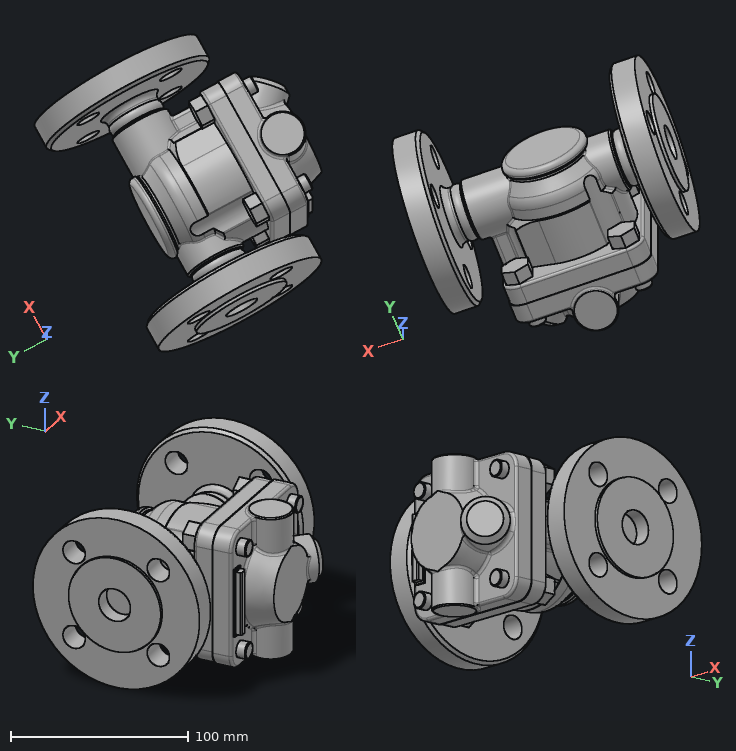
import cadquery as cq
import math

FACE_TO_FACE = 150.0

FLANGE_DIA = 105.0
FLANGE_THICKNESS = 16.0
FLANGE_CHAMFER = 2.0
RAISED_FACE_DIA = 58.0
RAISED_FACE_HEIGHT = 2.0
BORE_DIA = 20.0
BORE_DEPTH = 10.0
FLANGE_HOLE_DIA = 14.0
FLANGE_HOLE_CIRCLE = 75.0

NECK_DIA = 32.0
NECK_FLARE_LENGTH = 3.9
NECK_FLARE_HEIGHT = 2.4
NECK_LENGTH = 1.5
WELD_HEIGHT = 0.9
WELD_END = 46.0
PIPE_DIA = 36.0
PIPE_END = 45.3
PIPE_END_CHAMFER = 1.0

BODY_X = -6.0
BODY_TOP_Y = 22.0
CAP_RADIUS = 25.6
CAP_ROUND = 3.2
CAP_LOW_Y = 17.2
NECKING_RADIUS = 24.6
NECKING_TOP_Y = 16.0
NECKING_LOW_Y = 14.5
TAPER_END_RADIUS = 30.3
TAPER_END_Y = 7.7
UPPER_RADIUS = 32.4
UPPER_TOP_Y = 0.75
SHOULDER_Y = -6.0
LOBE_RADIUS = 36.0
LOWER_BODY_OVERLAP = 1.0
BODY_PIPE_FILLET = 1.2
BODY_PIPE_FILLET_TOP_Y = 16.0

LABEL_RADIUS = 33.0
LABEL_RIGHT = 13.1
LOBE_FLAT = 28.4
LOBE_LEFT_ANGLE = 130.0

JOINT_X = -3.0
JOINT_Y = -35.0
PLATE_THICKNESS = 12.0
BODY_PLATE_SIDE = 85.0
COVER_PLATE_SIDE = 85.8
PLATE_CORNER_RADIUS = 10.6
PLATE_EDGE_FILLET = 1.6
PARTING_Y = JOINT_Y - PLATE_THICKNESS
COVER_Y = PARTING_Y - PLATE_THICKNESS

BOLT_OFFSET = 32.0
BOLT_DIA = 10.0
BOLT_PROJECTION = 6.0
BOLT_CHAMFER = 0.6
NUT_ACROSS_FLATS = 16.0
NUT_HEIGHT = 8.0
NUT_CLEARANCE_RADIUS = 12.0
NUT_GROOVE_FILLET = 1.0

RIB_INNER_X = 20.0
RIB_OUTER_X = 39.4
RIB_START_Y = -12.0
RIB_HEIGHT = 16.0
RIB_FILLET = 1.6
RIB_CORNER_RADIUS = 2.7

DOME_HEIGHT = 18.0
DOME_FACE_RADIUS = 22.2
DOME_BASE_RADIUS = 28.3
DOME_BASE_FILLET = 2.0
DOME_TRIM = 5.0
SIDE_BOSS_DIA = 26.0
SIDE_BOSS_LENGTH = 88.7
SIDE_BOSS_CHAMFER = 0.8
SIDE_BOSS_FILLET = 2.0
DOME_FACE_Y = COVER_Y - DOME_HEIGHT
SIDE_BOSS_Y = DOME_FACE_Y + SIDE_BOSS_DIA / 2

STRAINER_DIA = 28.0
STRAINER_CHAMFER = 3.6
STRAINER_LENGTH = 25.0
STRAINER_FACE_X = 31.4
STRAINER_FACE_Y = -74.86
STRAINER_FILLET = 2.0

TAG_X = -39.85
TAG_WIDTH = 7.6
TAG_LENGTH = 41.5
TAG_BASE_HEIGHT = 1.2
TAG_HEIGHT = 4.7
TAG_RIDGE_WIDTH = 5.5
TAG_RIDGE_LENGTH = 39.0
TAG_RIDGE_CHAMFER_WIDTH = 1.0
TAG_RIDGE_CHAMFER_DEPTH = 0.6

TOUCH_TOLERANCE = 1e-3


def cylinder_y(radius, start_y, length, x=0.0, z=0.0):
    """Cylinder that runs from start_y towards -Y."""
    return cq.Workplane("XZ", origin=(x, start_y, z)).circle(radius).extrude(length)


def bolt_places():
    return [
        (JOINT_X + side * BOLT_OFFSET, level * BOLT_OFFSET)
        for side in (-1, 1)
        for level in (-1, 1)
    ]


def blend(first, second, radius, top_y=math.inf):
    """Union of two solids with the seam between them filleted below top_y."""
    joined = first.union(second)
    seam = []
    for edge in joined.edges().vals():
        middle = cq.Vertex.makeVertex(*edge.positionAt(0.5).toTuple())
        gaps = (middle.distance(first.val()), middle.distance(second.val()))
        if max(gaps) < TOUCH_TOLERANCE and edge.Center().y < top_y:
            seam.append(edge)
    return joined.newObject(seam).fillet(radius)


def make_run():
    """Both flanges, necks and the straight pipe, revolved about X."""
    end = FACE_TO_FACE / 2
    front = end - RAISED_FACE_HEIGHT
    back = front - FLANGE_THICKNESS
    neck_r = NECK_DIA / 2
    neck_out = back - NECK_FLARE_LENGTH
    neck_in = neck_out - NECK_LENGTH
    pipe_r = PIPE_DIA / 2
    flange_r = FLANGE_DIA / 2
    half = (
        cq.Workplane("XY")
        .moveTo(0, 0)
        .lineTo(0, pipe_r)
        .lineTo(PIPE_END - PIPE_END_CHAMFER, pipe_r)
        .lineTo(PIPE_END, pipe_r - PIPE_END_CHAMFER)
        .lineTo(PIPE_END, neck_r)
        .lineTo(WELD_END, neck_r)
        .threePointArc(((neck_in + WELD_END) / 2, neck_r + WELD_HEIGHT), (neck_in, neck_r))
        .lineTo(neck_out, neck_r)
        .tangentArcPoint((back, neck_r + NECK_FLARE_HEIGHT), relative=False)
        .lineTo(back, flange_r - FLANGE_CHAMFER)
        .lineTo(back + FLANGE_CHAMFER, flange_r)
        .lineTo(front, flange_r)
        .lineTo(front, RAISED_FACE_DIA / 2)
        .lineTo(end, RAISED_FACE_DIA / 2)
        .lineTo(end, 0)
        .close()
        .revolve(360, (0, 0, 0), (1, 0, 0))
    )
    return half.union(half.mirror("YZ"))


def make_upper_body():
    """Body of revolution with a rounded cap, a shallow neck and a taper."""
    return (
        cq.Workplane("XY", origin=(BODY_X, 0, 0))
        .moveTo(0, BODY_TOP_Y)
        .lineTo(CAP_RADIUS - CAP_ROUND, BODY_TOP_Y)
        .tangentArcPoint((CAP_RADIUS, BODY_TOP_Y - CAP_ROUND), relative=False)
        .lineTo(CAP_RADIUS, CAP_LOW_Y)
        .lineTo(NECKING_RADIUS, NECKING_TOP_Y)
        .lineTo(NECKING_RADIUS, NECKING_LOW_Y)
        .lineTo(TAPER_END_RADIUS, TAPER_END_Y)
        .tangentArcPoint((UPPER_RADIUS, UPPER_TOP_Y), relative=False)
        .lineTo(UPPER_RADIUS, JOINT_Y - LOWER_BODY_OVERLAP)
        .lineTo(0, JOINT_Y - LOWER_BODY_OVERLAP)
        .close()
        .revolve(360, (0, 0, 0), (0, 1, 0))
    )


def make_lower_body():
    """Lobed section extruded along Y and trimmed to a 45 degree conical shoulder."""
    label_top = math.sqrt(LABEL_RADIUS**2 - LABEL_RIGHT**2)
    flank_slope = LABEL_RIGHT / label_top
    flank_end = label_top - flank_slope * (LOBE_FLAT - LABEL_RIGHT)
    lobe_start = math.sqrt(LOBE_RADIUS**2 - LOBE_FLAT**2)
    left_cos = math.cos(math.radians(LOBE_LEFT_ANGLE))
    left_sin = math.sin(math.radians(LOBE_LEFT_ANGLE))
    start_y = SHOULDER_Y
    length = start_y - JOINT_Y + LOWER_BODY_OVERLAP
    half = (
        cq.Workplane("XZ", origin=(BODY_X, start_y, 0))
        .moveTo(-LOBE_RADIUS, 0)
        .lineTo(LOBE_RADIUS, 0)
        .radiusArc((LOBE_FLAT, lobe_start), -LOBE_RADIUS)
        .lineTo(LOBE_FLAT, flank_end)
        .lineTo(LABEL_RIGHT, label_top)
        .threePointArc((0, LABEL_RADIUS), (LABEL_RADIUS * left_cos, LABEL_RADIUS * left_sin))
        .lineTo(LOBE_RADIUS * left_cos, LOBE_RADIUS * left_sin)
        .radiusArc((-LOBE_RADIUS, 0), -LOBE_RADIUS)
        .close()
        .extrude(length)
    )
    shoulder = (
        cq.Workplane("XZ", origin=(BODY_X, start_y, 0))
        .circle(UPPER_RADIUS)
        .workplane(offset=length)
        .circle(UPPER_RADIUS + length)
        .loft()
    )
    return half.union(half.mirror("XY")).intersect(shoulder)


def cut_nut_grooves(part):
    """Round grooves with eased edges that clear the two nuts on the -X side."""
    reach = NUT_CLEARANCE_RADIUS + TOUCH_TOLERANCE
    groove_length = BODY_TOP_Y - JOINT_Y
    for x, z in bolt_places():
        if x > BODY_X:
            continue
        part = part.cut(cylinder_y(NUT_CLEARANCE_RADIUS, BODY_TOP_Y, groove_length, x, z))
        groove_box = cq.selectors.BoxSelector(
            (x - reach, JOINT_Y, z - reach), (x + reach, SHOULDER_Y, z + reach)
        )
        part = part.edges("|Y").edges(groove_box).fillet(NUT_GROOVE_FILLET)
    return part


def make_body_plate():
    return make_plate(BODY_PLATE_SIDE, JOINT_Y).faces(">Y").edges().fillet(PLATE_EDGE_FILLET)


def make_plate(side, start_y):
    return (
        cq.Workplane("XZ", origin=(JOINT_X, start_y, 0))
        .rect(side, side)
        .extrude(PLATE_THICKNESS)
        .edges("|Y")
        .fillet(PLATE_CORNER_RADIUS)
    )


def make_outlet_rib():
    width = RIB_OUTER_X - RIB_INNER_X
    return (
        cq.Workplane("XZ", origin=((RIB_OUTER_X + RIB_INNER_X) / 2, RIB_START_Y, 0))
        .rect(width, RIB_HEIGHT)
        .extrude(RIB_START_Y - JOINT_Y + LOWER_BODY_OVERLAP)
        .edges("|Y and >X")
        .fillet(RIB_CORNER_RADIUS)
    )


def make_strainer_boss():
    axis = cq.Vector(1, -1, 0).normalized()
    face_center = cq.Vector(STRAINER_FACE_X, STRAINER_FACE_Y, 0)
    plane = cq.Plane(face_center - axis * STRAINER_LENGTH, xDir=(0, 0, 1), normal=axis)
    boss = cq.Workplane(plane).circle(STRAINER_DIA / 2).extrude(STRAINER_LENGTH)
    return boss.faces(cq.selectors.DirectionMinMaxSelector(axis)).chamfer(STRAINER_CHAMFER)


def make_cover():
    """Cover plate with its conical dome, side bosses and strainer boss."""
    plate = make_plate(COVER_PLATE_SIDE, PARTING_Y).faces("<Y").edges().fillet(PLATE_EDGE_FILLET)
    slope = (DOME_BASE_RADIUS - DOME_FACE_RADIUS) / DOME_HEIGHT
    tip_y = DOME_FACE_Y - DOME_TRIM
    tip_height = COVER_Y - tip_y
    dome = (
        cq.Workplane("XZ", origin=(BODY_X, COVER_Y, 0))
        .circle(DOME_BASE_RADIUS)
        .workplane(offset=tip_height)
        .circle(DOME_BASE_RADIUS - slope * tip_height)
        .loft()
    )
    side_boss = (
        cq.Workplane("XY", origin=(BODY_X, SIDE_BOSS_Y, 0))
        .circle(SIDE_BOSS_DIA / 2)
        .extrude(SIDE_BOSS_LENGTH / 2, both=True)
        .faces("<Z or >Z")
        .chamfer(SIDE_BOSS_CHAMFER)
    )
    cover = blend(plate, dome, DOME_BASE_FILLET)
    cover = blend(cover, side_boss, SIDE_BOSS_FILLET)
    dome_tip = cylinder_y(DOME_BASE_RADIUS, DOME_FACE_Y, DOME_TRIM, BODY_X)
    cover = cover.cut(dome_tip)
    return blend(cover, make_strainer_boss(), STRAINER_FILLET)


def make_name_tag():
    base = (
        cq.Workplane("XZ", origin=(TAG_X, COVER_Y, 0))
        .rect(TAG_WIDTH, TAG_LENGTH)
        .extrude(TAG_BASE_HEIGHT)
    )
    ridge = (
        cq.Workplane("XZ", origin=(TAG_X, COVER_Y, 0))
        .rect(TAG_RIDGE_WIDTH, TAG_RIDGE_LENGTH)
        .extrude(TAG_HEIGHT)
        .faces("<Y")
        .edges("|Z")
        .chamfer(TAG_RIDGE_CHAMFER_DEPTH, TAG_RIDGE_CHAMFER_WIDTH)
    )
    return base.union(ridge)


def make_fastener(x, z):
    """Nut behind the joint and bolt end in front of the cover."""
    nut_corner_dia = NUT_ACROSS_FLATS / math.cos(math.pi / 6)
    nut = (
        cq.Workplane("XZ", origin=(x, JOINT_Y + NUT_HEIGHT, z))
        .transformed(rotate=(0, 0, 90))
        .polygon(6, nut_corner_dia)
        .extrude(NUT_HEIGHT)
    )
    bolt = cylinder_y(BOLT_DIA / 2, COVER_Y, BOLT_PROJECTION, x, z)
    return nut.union(bolt.faces("<Y").chamfer(BOLT_CHAMFER))


def cut_flange_holes(part):
    end = FACE_TO_FACE / 2
    hole_spacing = FLANGE_HOLE_CIRCLE / math.sqrt(2)
    cut_depth = RAISED_FACE_HEIGHT + FLANGE_THICKNESS
    for side in (-1, 1):
        face = cq.Workplane("YZ", origin=(side * end, 0, 0))
        holes = (
            face.rect(hole_spacing, hole_spacing, forConstruction=True)
            .vertices()
            .circle(FLANGE_HOLE_DIA / 2)
            .extrude(-side * cut_depth)
        )
        bore = face.circle(BORE_DIA / 2).extrude(-side * BORE_DEPTH)
        part = part.cut(holes).cut(bore)
    return part


def make_trunk():
    """Pipe run, trap body, outlet rib and body plate blended together."""
    run = make_run()
    lower_trunk = blend(run, make_lower_body(), BODY_PIPE_FILLET)
    lower_trunk = blend(lower_trunk, make_outlet_rib(), RIB_FILLET)
    upper_trunk = blend(run, make_upper_body(), BODY_PIPE_FILLET, BODY_PIPE_FILLET_TOP_Y)
    trunk = lower_trunk.union(upper_trunk)
    return cut_nut_grooves(trunk).union(make_body_plate())


part = make_trunk().union(make_cover()).union(make_name_tag())
for bolt_x, bolt_z in bolt_places():
    part = part.union(make_fastener(bolt_x, bolt_z))
result = cut_flange_holes(part)